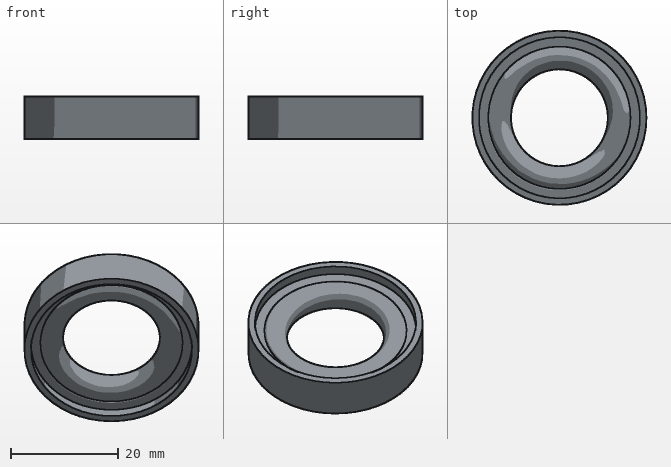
import cadquery as cq

outer_radius = 16.25
height = 8.0
mid_height = height / 2
recess_radius = 15.0
recess_depth = 1.98
throat_radius = 13.25
lip_round = 0.25

ring_inner_radius = 9.0
ring_section_radius = 2.5
ring_centre_radius = ring_inner_radius + ring_section_radius


def make_ring():
    """Torus whose axis is the housing axis."""
    return (
        cq.Workplane("XZ")
        .center(ring_centre_radius, mid_height)
        .circle(ring_section_radius)
        .revolve(360, (-ring_centre_radius, 0), (-ring_centre_radius, 1))
    )


def make_rim():
    """Outer wall over the full height."""
    return cq.Workplane("XY").circle(outer_radius).extrude(height)


def make_recess(bottom):
    """Round recess, cut from the given height upwards."""
    return cq.Workplane("XY").workplane(offset=bottom).circle(recess_radius).extrude(recess_depth)


def make_throat():
    """Through hole between the two ledges."""
    return cq.Workplane("XY").circle(throat_radius).extrude(height)


def make_housing():
    """Housing, alike above and below, with a recess and a rounded lip on each side."""
    body = make_rim()
    for recess_bottom in (0, height - recess_depth):
        body = body.cut(make_recess(recess_bottom))
    body = body.cut(make_throat())
    lips = cq.selectors.RadiusNthSelector(0)
    body = body.edges(lips).fillet(lip_round)
    return body.cut(make_ring())


housing = make_housing()
ring = make_ring()

result = cq.Compound.makeCompound([housing.val(), ring.val()])